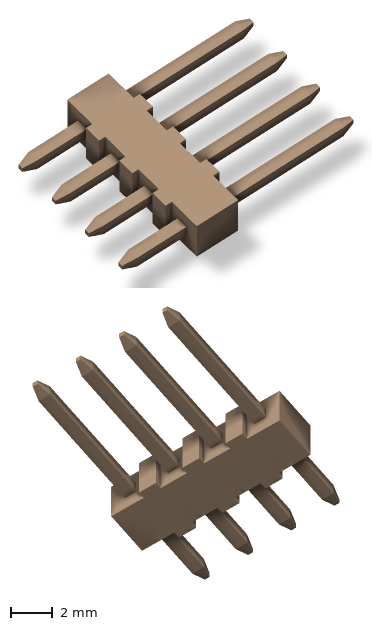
import cadquery as cq

total_length = 14.22
body_width = 9.91
body_height = 2.36

body_depth = 2.55
body_center_y = -2.05
tab_width = 1.0
tab_projection = 0.38

pin_count = 4
pin_pitch = 2.55
pin_size = 0.67
tip_size = 0.28
tip_length = 0.75

shank_length = total_length - 2 * tip_length


def centered_row(count):
    """X positions of a row of features at the pin pitch, centered on X = 0."""
    return [(i - (count - 1) / 2) * pin_pitch for i in range(count)]


def make_body():
    """Rectangular block with full-height tabs front and back, midway between the pins."""
    body = cq.Workplane("XY").box(body_width, body_depth, body_height)
    tab_depth = body_depth + 2 * tab_projection
    for x in centered_row(pin_count - 1):
        tab = cq.Workplane("XY").box(tab_width, tab_depth, body_height)
        body = body.union(tab.translate((x, 0, 0)))
    return body.translate((0, body_center_y, 0))


def make_tip():
    """Square taper pointing along +Y at the +Y end of a pin."""
    return (
        cq.Workplane("XZ", origin=(0, shank_length / 2, 0))
        .rect(pin_size, pin_size)
        .workplane(offset=-tip_length)
        .rect(tip_size, tip_size)
        .loft(ruled=True)
    )


def make_pin():
    """Square pin along Y with a tapered tip at each end."""
    shank = cq.Workplane("XY").box(pin_size, shank_length, pin_size)
    tip = make_tip()
    return shank.union(tip).union(tip.mirror("XZ"))


result = make_body()
pin = make_pin()
for pin_x in centered_row(pin_count):
    result = result.union(pin.translate((pin_x, 0, 0)))